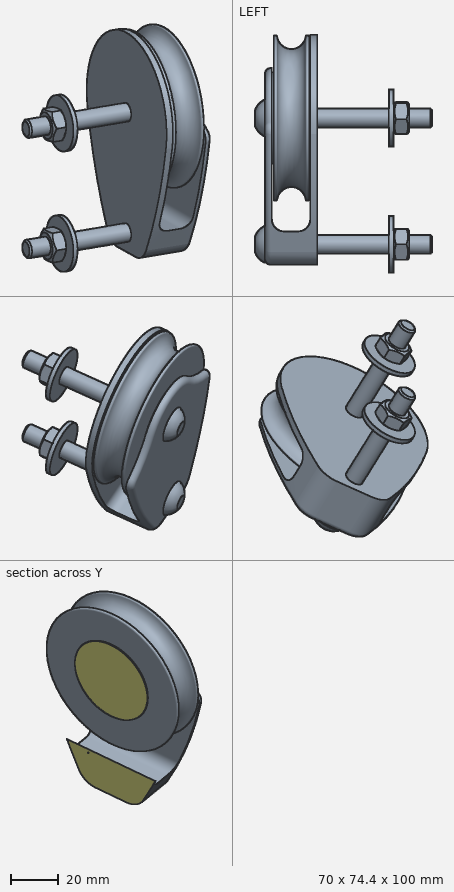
import cadquery as cq
import math


plate_thickness = 3.0
plate_gap = 16.0
bracket_depth = plate_gap + 2 * plate_thickness
front_y = -bracket_depth / 2
rear_y = bracket_depth / 2
head_radius = 35.0
side_start_angle = -10.9
side_radius = 180.0
bottom_z = -61.6
bottom_corner_radius = 10.0
hump_radius = 21.0
shoulder_radius = 40.0
ear_radius = 4.5
rear_edge_fillet = 2.5
window_floor_z = -47.5
window_corner_radius = 5.0

pulley_radius = 34.75
pulley_width = 15.0
pulley_offset = -0.15
groove_radius = 6.0
groove_bottom_radius = 29.0
rim_rounding = 0.75
hub_radius = 38.5 / 2

bolt_pitch = 53.0
bolt_radius = 4.0
bolt_length = 70.2
bolt_chamfer = 0.8
bolt_head_height = 4.2
bolt_head_radius = 15.6 / 2
bolt_head_shoulder_radius = 7.5
bolt_head_shoulder_height = 0.6
bolt_head_flat_radius = 3.2
bolt_dome_radius = 7.5
washer_radius = 12.0
washer_thickness = 2.0
washer_y = -41.0
nut_across_flats = 13.0
nut_height = 6.5
nut_face_radius = 5.7
nut_chamfer_angle = 30.0
pulley_nut_turn = 4.2


def on_circle(center, radius, degrees):
    angle = math.radians(degrees)
    return (center[0] + radius * math.cos(angle), center[1] + radius * math.sin(angle))


def direction(start, end):
    return math.degrees(math.atan2(end[1] - start[1], end[0] - start[0]))


def mirrored(point):
    return (-point[0], point[1])


axis = (0.0, 0.0)
side_start = on_circle(axis, head_radius, side_start_angle)
side_center = on_circle(side_start, -side_radius, side_start_angle)
corner_z = bottom_z + bottom_corner_radius
corner_x = side_center[0] + math.sqrt(
    (side_radius - bottom_corner_radius) ** 2 - (corner_z - side_center[1]) ** 2
)
corner_center = (corner_x, corner_z)
side_end_angle = direction(side_center, corner_center)
side_middle = on_circle(side_center, side_radius, (side_start_angle + side_end_angle) / 2)
side_end = on_circle(side_center, side_radius, side_end_angle)
corner_middle = on_circle(corner_center, bottom_corner_radius, (side_end_angle - 90) / 2)
corner_end = (corner_x, bottom_z)


def start_outline(start_y):
    """Lower outline from the left side start, round the bottom, to the right side start."""
    return (
        cq.Workplane("XZ", origin=(0, start_y, 0))
        .moveTo(*mirrored(side_start))
        .threePointArc(mirrored(side_middle), mirrored(side_end))
        .threePointArc(mirrored(corner_middle), mirrored(corner_end))
        .lineTo(*corner_end)
        .threePointArc(corner_middle, side_end)
        .threePointArc(side_middle, side_start)
    )


def make_front_plate():
    outline = start_outline(front_y + plate_thickness)
    outline = outline.threePointArc((0, head_radius), mirrored(side_start)).close()
    return outline.extrude(plate_thickness)


def make_rear_plate_and_web():
    ear_center = on_circle(side_start, -ear_radius, side_start_angle)
    ear_distance = math.hypot(*ear_center)
    to_hump = hump_radius + shoulder_radius
    to_ear = ear_radius + shoulder_radius
    spread = math.degrees(
        math.acos((to_hump**2 + ear_distance**2 - to_ear**2) / (2 * to_hump * ear_distance))
    )
    hump_end_angle = direction(axis, ear_center) + spread
    shoulder_center = on_circle(axis, to_hump, hump_end_angle)
    ear_end_angle = direction(ear_center, shoulder_center)
    hump_end = on_circle(axis, hump_radius, hump_end_angle)
    ear_end = on_circle(ear_center, ear_radius, ear_end_angle)
    ear_middle = on_circle(ear_center, ear_radius, (side_start_angle + ear_end_angle) / 2)
    shoulder_middle = on_circle(
        shoulder_center, shoulder_radius, (hump_end_angle + ear_end_angle) / 2 + 180
    )
    outline = (
        start_outline(rear_y)
        .threePointArc(ear_middle, ear_end)
        .threePointArc(shoulder_middle, hump_end)
        .threePointArc((0, hump_radius), mirrored(hump_end))
        .threePointArc(mirrored(shoulder_middle), mirrored(ear_end))
        .threePointArc(mirrored(ear_middle), mirrored(side_start))
        .close()
    )
    block = outline.extrude(bracket_depth).faces(">Y").edges().fillet(rear_edge_fillet)
    window_height = 2 * head_radius - window_floor_z
    window = (
        cq.Workplane("XY")
        .box(4 * head_radius, plate_gap, window_height)
        .edges("|X and <Z")
        .fillet(window_corner_radius)
        .translate((0, 0, window_floor_z + window_height / 2))
    )
    return block.cut(window)


def make_pulley():
    side = pulley_width / 2
    crest_start = pulley_radius - rim_rounding
    groove_center = groove_bottom_radius + groove_radius
    groove_edge = math.sqrt(groove_radius**2 - (groove_center - crest_start) ** 2)
    crest = (side + groove_edge) / 2
    wheel = (
        cq.Workplane("XY")
        .moveTo(0, -side)
        .lineTo(crest_start, -side)
        .threePointArc((pulley_radius, -crest), (crest_start, -groove_edge))
        .threePointArc((groove_bottom_radius, 0), (crest_start, groove_edge))
        .threePointArc((pulley_radius, crest), (crest_start, side))
        .lineTo(0, side)
        .close()
        .revolve(360, (0, 0), (0, 1))
    )
    hub = cq.Workplane("XZ", origin=(0, plate_gap / 2, 0)).circle(hub_radius).extrude(plate_gap)
    return wheel.translate((0, pulley_offset, 0)).union(hub)


def make_bolt():
    end_y = rear_y - bolt_length
    return (
        cq.Workplane("XY")
        .moveTo(0, end_y)
        .lineTo(bolt_radius - bolt_chamfer, end_y)
        .lineTo(bolt_radius, end_y + bolt_chamfer)
        .lineTo(bolt_radius, rear_y)
        .lineTo(bolt_head_radius, rear_y)
        .lineTo(bolt_head_shoulder_radius, rear_y + bolt_head_shoulder_height)
        .radiusArc((bolt_head_flat_radius, rear_y + bolt_head_height), -bolt_dome_radius)
        .lineTo(0, rear_y + bolt_head_height)
        .close()
        .revolve(360, (0, 0), (0, 1))
    )


def make_washer():
    return cq.Workplane("XZ", origin=(0, washer_y, 0)).circle(washer_radius).extrude(washer_thickness)


def make_nut(turn):
    nut_y = washer_y - washer_thickness
    corner_radius = nut_across_flats / math.sqrt(3)
    hexagon = (
        cq.Workplane("XZ", origin=(0, nut_y, 0))
        .polygon(6, 2 * corner_radius)
        .extrude(nut_height)
        .rotate((0, 0, 0), (0, 1, 0), -turn)
    )
    bevel = (corner_radius - nut_face_radius) * math.tan(math.radians(nut_chamfer_angle))
    bevelled_round = (
        cq.Workplane("XY")
        .moveTo(0, nut_y)
        .lineTo(nut_face_radius, nut_y)
        .lineTo(corner_radius, nut_y - bevel)
        .lineTo(corner_radius, nut_y - nut_height + bevel)
        .lineTo(nut_face_radius, nut_y - nut_height)
        .lineTo(0, nut_y - nut_height)
        .close()
        .revolve(360, (0, 0), (0, 1))
    )
    return hexagon.intersect(bevelled_round)


result = make_front_plate().union(make_rear_plate_and_web()).union(make_pulley())
for bolt_z, nut_turn in ((0, pulley_nut_turn), (-bolt_pitch, 0)):
    fastener = make_bolt().union(make_washer()).union(make_nut(nut_turn))
    result = result.union(fastener.translate((0, 0, bolt_z)))